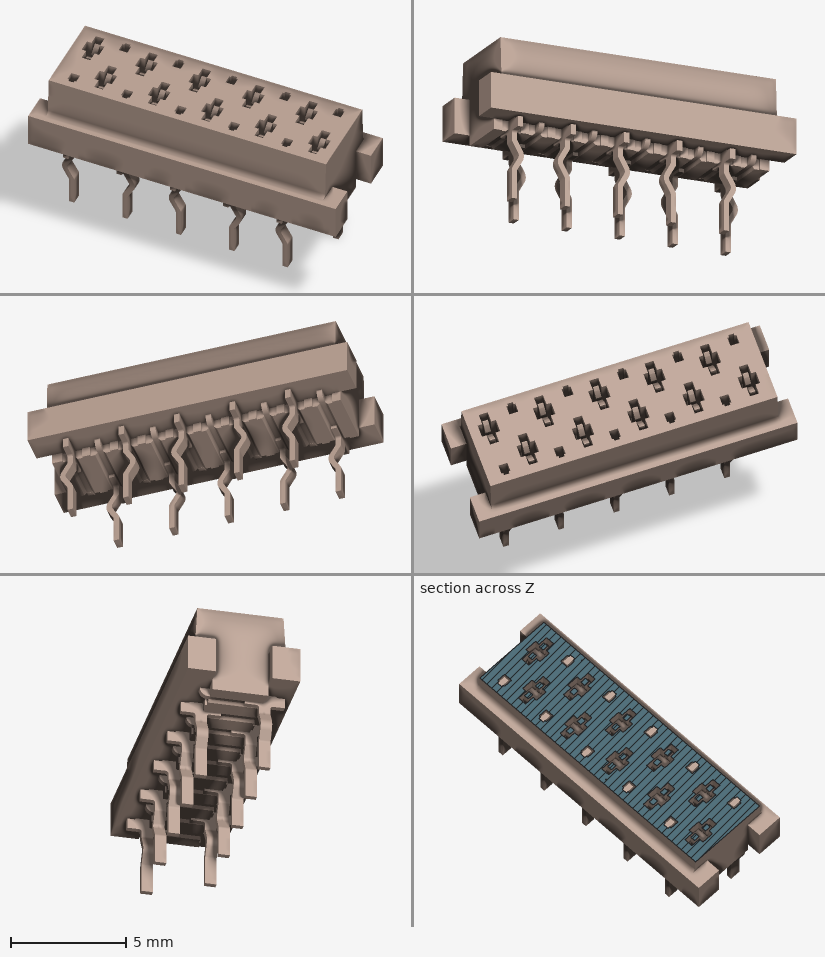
import cadquery as cq
import math


flange_length = 14.63
flange_width = 5.0
flange_height = 1.64
body_length = 13.2
body_height = 3.53
body_top_width = 3.85
body_waist_width = 4.04
root_fillet = 0.2
core_width = 2.5
core_depth = 0.48

contact_count = 10
pitch = 1.27
row_offset = pitch
contact_shift = 0.03
contact_thickness = 0.25
pin_width = 0.51
pin_length = 3.63
base_width = 1.78
base_depth = 0.53
base_fillet = 0.12
shoulder_gap = 0.06
shoulder_gap_length = 0.34

bend_start = 0.92
bend_apex = 1.62
bend_reach = 0.41
apex_inner_radius = 0.23
apex_outer_radius = apex_inner_radius + contact_thickness
bend_corner_radius = 0.19

pad_width = 0.9
pad_recess = 0.07
mouth_chamfer = 0.12
tongue_radius = 0.38

socket_center = 0.75
socket_slot = (0.41, 1.5)
socket_center_window = (0.83, 0.57)
socket_depth = 1.75
test_hole_width = 0.41
test_hole_inner = 1.1
test_hole_outer = 1.5
test_notch_outer = 1.61
test_hole_depth = 1.46
test_post_inner = 1.17
test_post_height = 0.29

spring_center = 0.76
spring_gap = 0.13
spring_reach = 0.42
spring_tip_width = 0.05
spring_knee = 0.23
spring_thickness = 0.18
spring_top_drop = 0.19
spring_knee_drop = 0.28
spring_contact_drop = 0.51


def box(x_range, y_range, z_range):
    size = [high - low for low, high in (x_range, y_range, z_range)]
    corner = (x_range[0], y_range[0], z_range[0])
    return cq.Workplane("XY").box(*size, centered=False).translate(corner)


def plate(length, width, height):
    """Block centred in X and Y, standing on Z = 0."""
    return cq.Workplane("XY").box(length, width, height, centered=(True, True, False))


def along_x(profile, length):
    """Extrude a closed YZ workplane profile symmetrically about X = 0."""
    return profile.extrude(length / 2, both=True)


def make_housing():
    """Flange with notched ends, tapered body with filleted root, and core below."""
    flange = plate(flange_length, flange_width, flange_height)
    end_length = (flange_length - body_length) / 2
    for side in (-1, 1):
        notch = plate(end_length, core_width, flange_height)
        flange = flange.cut(notch.translate((side * (body_length + end_length) / 2, 0, 0)))

    waist = body_waist_width / 2
    waist_z = flange_height + root_fillet
    mid_arc = root_fillet * (1 - math.sqrt(0.5))
    profile = (
        cq.Workplane("YZ")
        .moveTo(-waist - root_fillet, flange_height)
        .threePointArc((-waist - mid_arc, flange_height + mid_arc), (-waist, waist_z))
        .lineTo(-body_top_width / 2, body_height)
        .lineTo(body_top_width / 2, body_height)
        .lineTo(waist, waist_z)
        .threePointArc((waist + mid_arc, flange_height + mid_arc), (waist + root_fillet, flange_height))
        .close()
    )
    body = along_x(profile, body_length)
    core_height = core_depth + flange_height
    core = plate(body_length, core_width, core_height)
    return flange.union(body).union(core.translate((0, 0, -core_depth)))


def pad_recesses():
    """Shallow recesses on both sides of the core, around one contact."""
    half = core_width / 2
    x_range = (-pad_width / 2, pad_width / 2)
    front = box(x_range, (-half, pad_recess - half), (-core_depth, 0))
    return front.union(front.mirror("XZ"))


def chamfered_mouth():
    """Flared opening across the bottom of the core, where a contact leaves it."""
    inner = contact_thickness / 2
    outer = inner + mouth_chamfer
    return (
        cq.Workplane("XZ")
        .polyline([
            (-outer, -core_depth),
            (outer, -core_depth),
            (inner, mouth_chamfer - core_depth),
            (-inner, mouth_chamfer - core_depth),
        ])
        .close()
        .extrude(core_width / 2, both=True)
    )


def socket_opening():
    """Cross-shaped contact opening."""
    cross = (
        cq.Workplane("XY")
        .rect(*socket_slot)
        .extrude(socket_depth)
        .union(cq.Workplane("XY").rect(*socket_center_window).extrude(socket_depth))
    )
    return cross.translate((0, -socket_center, body_height - socket_depth))


def spring_blades():
    """Facing pair of blades with a two-step lead-in, standing on the socket floor."""
    floor_z = body_height - socket_depth
    contact_z = body_height - spring_contact_drop
    tip_z = body_height - spring_top_drop
    contact_y = spring_gap / 2
    tip_y = contact_y + spring_reach
    blade = along_x(
        cq.Workplane("YZ")
        .polyline([
            (tip_y, floor_z),
            (tip_y, tip_z),
            (tip_y - spring_tip_width, tip_z),
            (contact_y + spring_knee, body_height - spring_knee_drop),
            (contact_y, contact_z),
            (tip_y - spring_thickness, floor_z),
        ])
        .close(),
        contact_thickness,
    )
    return blade.union(blade.mirror("XZ")).translate((0, -spring_center, 0))


def test_hole():
    """Small notched hole with the end of the contact standing on its floor."""
    half_width = test_hole_width / 2
    half_notch = contact_thickness / 2
    floor_z = body_height - test_hole_depth
    z_range = (floor_z, body_height)
    notch_x = (-half_notch, half_notch)
    hole = box((-half_width, half_width), (test_hole_inner, test_hole_outer), z_range)
    hole = hole.union(box(notch_x, (test_hole_inner, test_notch_outer), z_range))
    post = box(notch_x, (test_post_inner, test_notch_outer), (floor_z, floor_z + test_post_height))
    return hole.cut(post)


def contact_base():
    """Cross bar of the contact, with the filleted root of its pin."""
    half_base = base_width / 2
    half_pin = pin_width / 2
    gap_y = half_base - shoulder_gap_length
    root = half_pin + base_fillet
    mid = base_fillet * (1 - math.sqrt(0.5))
    profile = (
        cq.Workplane("YZ")
        .moveTo(-half_base, 0)
        .lineTo(-half_base, -base_depth)
        .lineTo(-root, -base_depth)
        .threePointArc((-half_pin - mid, -base_depth - mid), (-half_pin, -base_depth - base_fillet))
        .lineTo(half_pin, -base_depth - base_fillet)
        .threePointArc((half_pin + mid, -base_depth - mid), (root, -base_depth))
        .lineTo(half_base, -base_depth)
        .lineTo(half_base, -shoulder_gap)
        .lineTo(gap_y, -shoulder_gap)
        .lineTo(gap_y - shoulder_gap, 0)
        .close()
    )
    return along_x(profile, contact_thickness).translate((0, row_offset, 0))


def bent_pin():
    """Pin with a sideways retention bend toward +X."""
    half = contact_thickness / 2
    outer_run = bend_apex - bend_start
    slope = math.atan2(bend_reach, outer_run)
    miter = contact_thickness * math.tan(slope / 2)
    inner_run = outer_run - miter
    inner_reach = inner_run * math.tan(slope)
    top_z = -base_depth
    outline = [
        (half, top_z),
        (half, -bend_apex + outer_run),
        (half + bend_reach, -bend_apex),
        (half, -bend_apex - outer_run),
        (half, -pin_length),
        (-half, -pin_length),
        (-half, -bend_apex - inner_run),
        (-half + inner_reach, -bend_apex),
        (-half, -bend_apex + inner_run),
        (-half, top_z),
    ]
    pin = cq.Workplane("XZ").polyline(outline).close().extrude(pin_width / 2, both=True)

    def corner(px, pz):
        return cq.selectors.NearestToPointSelector((px, 0, pz))

    pin = pin.edges(corner(half + bend_reach, -bend_apex)).fillet(apex_outer_radius)
    pin = pin.edges(corner(-half + inner_reach, -bend_apex)).fillet(apex_inner_radius)
    for run, edge_x in ((outer_run, half), (inner_run, -half)):
        for end in (-1, 1):
            pin = pin.edges(corner(edge_x, -bend_apex + end * run)).fillet(bend_corner_radius)
    return pin.translate((0, row_offset, 0))


def rounded_tongue():
    """Rounded tongue beside the core, opposite the pin of the same contact."""
    root_y = core_width / 2
    mid = tongue_radius * math.sqrt(0.5)
    buried_y = root_y - pad_recess
    tongue = along_x(
        cq.Workplane("YZ")
        .moveTo(buried_y, 0)
        .lineTo(root_y + tongue_radius, 0)
        .threePointArc((root_y + mid, -mid), (root_y, -tongue_radius))
        .lineTo(buried_y, -tongue_radius)
        .close(),
        contact_thickness,
    )
    return tongue.mirror("XZ")


cutout_parts = (pad_recesses(), chamfered_mouth(), socket_opening(), test_hole())
pin = bent_pin()
fixed_parts = (spring_blades(), contact_base(), rounded_tongue())

cutouts = []
contacts = []
for index in range(contact_count):
    contact_x = contact_shift + (index - (contact_count - 1) / 2) * pitch
    in_back_row = index % 2 == 1
    bends_toward_plus_x = (index // 2) % 2 == 1
    placed_pin = pin if bends_toward_plus_x else pin.mirror("YZ")

    for parts, placed in ((cutout_parts, cutouts), ((placed_pin, *fixed_parts), contacts)):
        for part in parts:
            sided = part if in_back_row else part.mirror("XZ")
            placed.extend(sided.translate((contact_x, 0, 0)).vals())

housing = make_housing().val().cut(*cutouts)
result = cq.Workplane(housing.fuse(*contacts).clean()).solids()